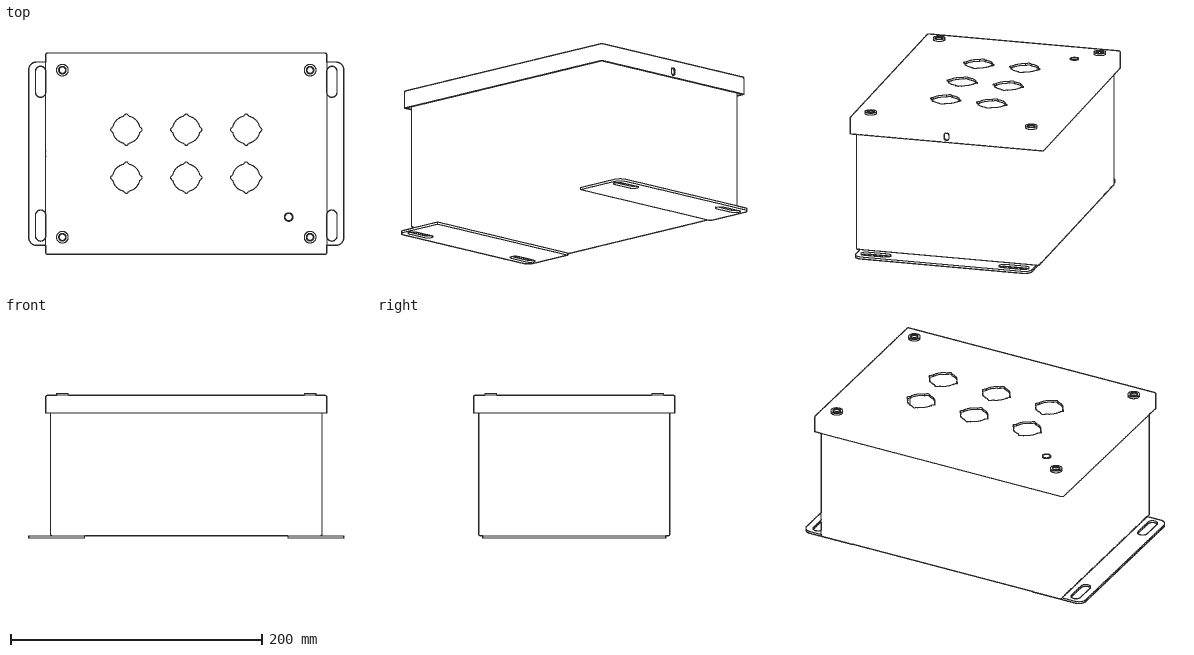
import cadquery as cq

total_length = 250.8
total_height = 115.1
lid_width = 160.3

sheet = 1.5
box_bend_radius = 1.3
lid_bend_radius = 1.5

foot_thickness = 1.8
foot_length = 44.6
foot_width = 146.0
foot_corner_radius = 6.3
foot_slot_width = 8.0
foot_slot_length = 24.5
foot_slot_x = 116.0
foot_slot_y = 57.2

lid_length = 223.7
lid_depth = 14.3
screw_head_height = 1.5
lid_top = total_height - screw_head_height
lid_underside = lid_top - sheet

box_length = 216.2
box_width = 152.0
box_height = lid_underside - foot_thickness

screw_head_diameter = 9.3
screw_socket_diameter = 5.0
screw_socket_chamfer = 0.5
screw_socket_depth = 2.3
screw_x = 98.5
screw_y = 66.5

button_hole_diameter = 21.8
button_columns = 3
button_rows = 2
button_pitch_x = 47.7
button_pitch_y = 38.0
notch_reach = 13.0
notch_tip_radius = 1.3

flange_slot_width = 4.3
flange_slot_height = 6.0
flange_slot_z = lid_top - 9.5

plug_diameter = 6.8
plug_chamfer = 0.5
plug_x = 81.5
plug_y = -50.5


def open_box(length, width, height, bend_radius):
    """Rounded sheet-metal tray, open at the top, standing on Z = 0."""
    outer = (
        cq.Workplane("XY")
        .box(length, width, height, centered=(True, True, False))
        .edges("|Z or <Z")
        .fillet(bend_radius)
    )
    cavity = (
        cq.Workplane("XY", origin=(0, 0, sheet))
        .box(length - 2 * sheet, width - 2 * sheet, height, centered=(True, True, False))
    )
    return outer.cut(cavity)


def mounting_foot(side):
    """Slotted plate under one end of the box; side is -1 or +1 along X."""
    center_x = side * (total_length - foot_length) / 2
    outer_end = "<X" if side < 0 else ">X"
    plate = (
        cq.Workplane("XY", origin=(center_x, 0, 0))
        .box(foot_length, foot_width, foot_thickness, centered=(True, True, False))
        .faces(outer_end)
        .edges("|Z")
        .fillet(foot_corner_radius)
    )
    slots = (
        cq.Workplane("XY")
        .pushPoints([(side * foot_slot_x, y) for y in (-foot_slot_y, foot_slot_y)])
        .slot2D(foot_slot_length, foot_slot_width, 90)
        .extrude(foot_thickness)
    )
    return plate.cut(slots)


def make_box():
    """Box with the two mounting feet welded to its floor."""
    box = open_box(box_length, box_width, box_height, box_bend_radius).translate((0, 0, foot_thickness))
    for side in (-1, 1):
        box = box.union(mounting_foot(side))
    return box


def button_hole_cutter():
    """Round hole crossed by a square on its corner, whose rounded tips form four small notches."""
    lid_inside = cq.Workplane("XY", origin=(0, 0, lid_underside))
    bore = lid_inside.circle(button_hole_diameter / 2).extrude(sheet)
    notches = lid_inside.polygon(4, 2 * notch_reach).extrude(sheet).edges("|Z").fillet(notch_tip_radius)
    return bore.union(notches)


def screw_positions(height):
    """Workplane at the given height with a point for each corner screw."""
    points = [(x, y) for x in (-screw_x, screw_x) for y in (-screw_y, screw_y)]
    return cq.Workplane("XY", origin=(0, 0, height)).pushPoints(points)


def screw_heads():
    """Round heads on top of the lid, one near each corner."""
    return screw_positions(lid_top).circle(screw_head_diameter / 2).extrude(screw_head_height)


def screw_sockets():
    """Flat-bottomed recesses in the screw heads, with a chamfered mouth."""
    bores = (
        screw_positions(total_height - screw_socket_depth)
        .circle(screw_socket_diameter / 2)
        .extrude(screw_socket_depth)
    )
    mouths = (
        screw_positions(total_height)
        .circle(screw_socket_diameter / 2 + screw_socket_chamfer)
        .extrude(-screw_socket_chamfer, taper=45)
    )
    return bores.union(mouths)


def plug_blank():
    """Plain disc as thick as the lid, at the plug's place."""
    return (
        cq.Workplane("XY", origin=(plug_x, plug_y, lid_underside))
        .circle(plug_diameter / 2)
        .extrude(sheet)
    )


def make_plug():
    """Disc with a chamfered rim that fills a hole in the lid flush with its top."""
    return plug_blank().faces(">Z").chamfer(plug_chamfer)


def make_lid():
    """Inverted tray with screw heads, button holes, a flange slot and the plug's hole."""
    lid = (
        open_box(lid_length, lid_width, lid_depth, lid_bend_radius)
        .rotate((0, 0, 0), (1, 0, 0), 180)
        .translate((0, 0, lid_top))
        .union(screw_heads())
        .cut(screw_sockets())
    )
    hole = button_hole_cutter()
    for column in range(button_columns):
        for row in range(button_rows):
            x = (column - (button_columns - 1) / 2) * button_pitch_x
            y = (row - (button_rows - 1) / 2) * button_pitch_y
            lid = lid.cut(hole.translate((x, y, 0)))
    flange_slot = (
        cq.Workplane("YZ", origin=(-lid_length / 2, 0, flange_slot_z))
        .slot2D(flange_slot_height, flange_slot_width, 90)
        .extrude(sheet)
    )
    return lid.cut(flange_slot).cut(plug_blank())


box = make_box()
lid = make_lid()
plug = make_plug()

result = cq.Compound.makeCompound([box.val(), lid.val(), plug.val()])